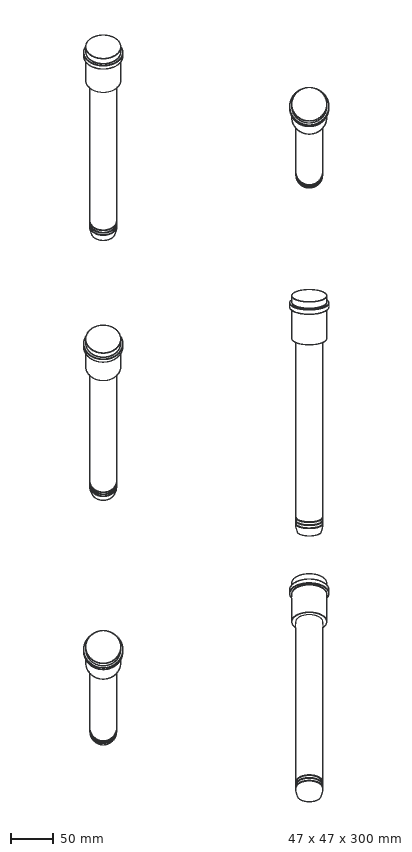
import cadquery as cq
import math

total_length = 300
shank_diameter = 32.0
head_diameter = 42
head_length = 55.0
head_chamfer = 0.45

collar_diameter = 47.0
collar_height = 6.3
collar_top_offset = 9
collar_chamfer = 0.5

relief_overhang = 1.0
relief_depth = 0.3

lead_height = 6.5
lead_angle = 15
tip_fillet = 1.0

groove_count = 3
groove_pitch = 4.0
groove_width = 1.2
groove_depth = 0.5
lowest_groove_height = 10.8


def cylinder(diameter, bottom, top):
    """Cylinder on the Z axis between two heights."""
    return cq.Workplane("XY").workplane(offset=bottom).circle(diameter / 2).extrude(top - bottom)


def revolve_profile(points):
    """Solid made by turning a closed (radius, height) outline around the Z axis."""
    return cq.Workplane("XZ").polyline(points).close().revolve(360, (0, 0), (0, 1))


def make_shank():
    """Shank with a conical lead-in and a rounded tip edge."""
    shank_radius = shank_diameter / 2
    tip_radius = shank_radius - lead_height * math.tan(math.radians(lead_angle))
    shank = revolve_profile([
        (0, 0),
        (tip_radius, 0),
        (shank_radius, lead_height),
        (shank_radius, total_length - head_length),
        (0, total_length - head_length),
    ])
    return shank.faces("<Z").edges().fillet(tip_fillet)


def make_oil_groove(center_height):
    """V-section ring to remove from the shank."""
    shank_radius = shank_diameter / 2
    return revolve_profile([
        (shank_radius, center_height - groove_width / 2),
        (shank_radius - groove_depth, center_height),
        (shank_radius, center_height + groove_width / 2),
    ])


def make_head():
    """Head with chamfered rims, a relief groove and the collar seated in it."""
    collar_top = total_length - collar_top_offset
    collar_bottom = collar_top - collar_height
    relief_top = collar_top + relief_overhang
    relief_bottom = collar_bottom - relief_overhang

    head = cylinder(head_diameter, total_length - head_length, total_length)
    head = head.faces("<Z or >Z").edges().chamfer(head_chamfer)
    relief_floor = cylinder(head_diameter - 2 * relief_depth, relief_bottom, relief_top)
    relief = cylinder(collar_diameter, relief_bottom, relief_top).cut(relief_floor)

    collar = cylinder(collar_diameter, collar_bottom, collar_top)
    collar = collar.faces("<Z or >Z").edges().chamfer(collar_chamfer)
    return head.cut(relief).union(collar)


shank = make_shank()
for index in range(groove_count):
    shank = shank.cut(make_oil_groove(lowest_groove_height + index * groove_pitch))

result = shank.union(make_head())